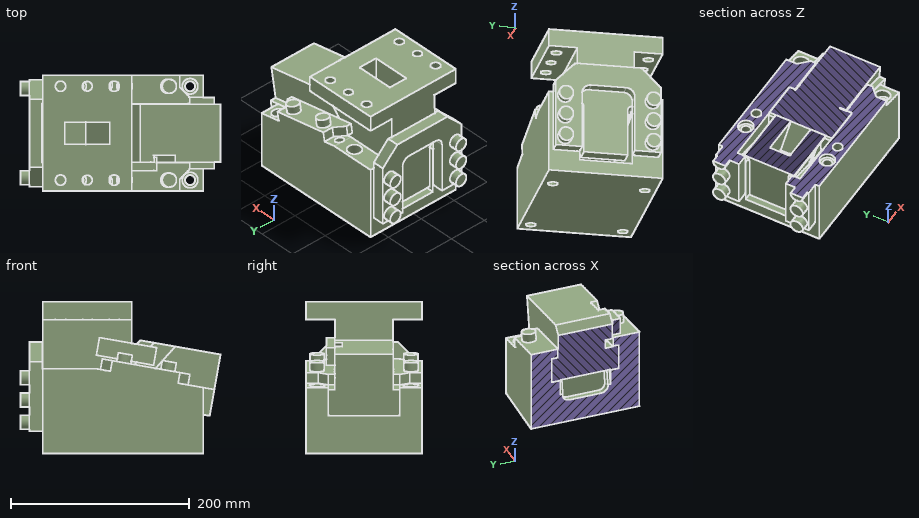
import cadquery as cq
import math

TILT = 10.0
COS = math.cos(math.radians(TILT))
SIN = math.sin(math.radians(TILT))

HOUSING_LENGTH = 180.0
HOUSING_WIDTH = 130.0
HOUSING_TOP = 95.0
SLOPE_START_X = 60.0
FACEPLATE_THICKNESS = 15.0
FACEPLATE_WIDTH = 120.0
FACEPLATE_BOTTOM = 25.0
FACEPLATE_TOP = 125.0
FACEPLATE_CHAMFER = 22.0
WINDOW_WIDTH = 60.0
WINDOW_TOP = 100.0
WINDOW_RADIUS = 10.0
POCKET_FLOOR = 15.0
POCKET_RAMP_TOP = 29.5
POCKET_BACK_U = 50.5
RECESS_DEPTH = 10.0
RECESS_BOTTOM_W = -58.0
RECESS_RADIUS = 8.0
CLEARANCE = 0.5

PAD_HEIGHT = 12.0
PAD_INNER_ENDS_U = (4.8, 104.3)
PAD_CORNER_Y = (40.0, 51.3)
PAD_CORNER = PAD_CORNER_Y[1] - PAD_CORNER_Y[0]

SCREW_DIAMETER = 16.0
SCREW_HEIGHT = 10.0
FACEPLATE_SCREW_Y = 50.0
FACEPLATE_SCREW_Z = (35.0, 60.0, 85.0)
HOLE_ROW_Y = 52.5
PAD_SCREW_U = (29.2, 79.2)
MOUNT_HOLE_X = (40.0, 165.0)
MOUNT_HOLE_DIAMETER = 11.0
COUNTERBORE_DIAMETER = 17.5
COUNTERBORE_FLOOR_Z = (80.0, 65.0)
SLOPE_HOLE_U = 5.0
SLOPE_HOLE_DIAMETER = 11.0
SLOPE_HOLE_DEPTH = 20.0

SLIDE_END_U = 134.36
SLIDE_WIDTH = 65.0
SLIDE_TOP_W = 40.0
SLIDE_TOP_START_U = 42.9
FLANGE_WIDTH = 80.0
FLANGE_DEPTH = 30.0
FLANGE_FRONT_X = 69.5
KEEL_WIDTH = 54.0
KEEL_BOTTOM = 59.5
WEDGE_ANGLE = 58.0
SLOT_START_U = 58.8
SLOT_END_U = 82.9
SLOT_FLOOR_Y = -24.5

HEAD_TOP = 170.0
HEAD_LENGTH = 100.0
HEAD_WIDTH = 130.0
HEAD_THICKNESS = 20.0
NECK_WIDTH = SLIDE_WIDTH
NECK_BOTTOM = 84.0
TONGUE_WIDTH = 50.0
TONGUE_BOTTOM = 25.0
TONGUE_FILLET = 5.0
HEAD_OPENING = (50.0, 25.0)
HEAD_HOLES = ((20.0, 11.5), (50.0, 10.8), (80.0, 11.5))
HOOK_START_U = -2.5
HOOK_END_U = 62.5
HOOK_BOTTOM_W = 15.0
HOOK_TOP_W = 35.0
HOOK_OUTER_Y = -42.0
HOOK_INNER_Y = -27.0

WEDGE_RUN = 1.0 / math.tan(math.radians(WEDGE_ANGLE))
WEDGE_SLOPE = math.tan(math.radians(WEDGE_ANGLE - TILT))
REACH = 400.0


def box(x_range, y_range, z_range):
    """Upright block between the given limits."""
    size = [high - low for low, high in (x_range, y_range, z_range)]
    low_corner = (x_range[0], y_range[0], z_range[0])
    return cq.Workplane("XY").box(*size, centered=False).translate(low_corner)


def centred(width):
    return (-width / 2, width / 2)


def tilt(level_shape):
    """Move a shape built with u as X and w as Z into its tilted place."""
    turned = level_shape.rotate((0, 0, 0), (0, 1, 0), TILT)
    return turned.translate((SLOPE_START_X, 0, HOUSING_TOP))


def tilted_box(u_range, y_range, w_range):
    return tilt(box(u_range, y_range, w_range))


def side_prism(points, y_range):
    """Prism across Y from an outline of (X, Z) points."""
    prism = cq.Workplane("XZ").polyline(points).close().extrude(y_range[0] - y_range[1])
    return prism.translate((0, y_range[0], 0))


def tilted_prism(points, y_range):
    """Prism across Y from an outline of (u, w) points."""
    return side_prism([to_xz(u, w) for u, w in points], y_range)


def to_xz(u, w):
    return (SLOPE_START_X + u * COS + w * SIN, HOUSING_TOP - u * SIN + w * COS)


def slope_plane(w):
    """Plane parallel to the slope at height w, with local x along u and local y along Y."""
    x, z = to_xz(0, w)
    return cq.Workplane(cq.Plane(origin=(x, 0, z), xDir=(COS, 0, -SIN), normal=(SIN, 0, COS)))


def wedge_u(top_u, w):
    """The u of a plane parallel to the wedge face that meets the slide's top face at top_u."""
    return top_u - (SLIDE_TOP_W - w) * WEDGE_RUN


def behind_wedge_plane(top_u, y_range):
    """Everything on the +X side of a plane parallel to the wedge face."""
    points = [
        (wedge_u(top_u, -REACH), -REACH),
        (REACH, -REACH),
        (REACH, REACH),
        (wedge_u(top_u, REACH), REACH),
    ]
    return tilted_prism(points, y_range)


def housing_block():
    slope_end_z = HOUSING_TOP - (HOUSING_LENGTH - SLOPE_START_X) * SIN / COS
    outline = [
        (0, 0),
        (HOUSING_LENGTH, 0),
        (HOUSING_LENGTH, slope_end_z),
        (SLOPE_START_X, HOUSING_TOP),
        (0, HOUSING_TOP),
    ]
    return side_prism(outline, centred(HOUSING_WIDTH))


def faceplate():
    plate = box((-FACEPLATE_THICKNESS, 0), centred(FACEPLATE_WIDTH), (FACEPLATE_BOTTOM, FACEPLATE_TOP))
    plate = plate.edges("|X and >Z").chamfer(FACEPLATE_CHAMFER)
    for y in (-FACEPLATE_SCREW_Y, FACEPLATE_SCREW_Y):
        for z in FACEPLATE_SCREW_Z:
            screw = cq.Workplane("YZ", origin=(-FACEPLATE_THICKNESS, y, z))
            plate = plate.union(screw.circle(SCREW_DIAMETER / 2).extrude(-SCREW_HEIGHT))
    window = box((-FACEPLATE_THICKNESS, 0), centred(WINDOW_WIDTH), (FACEPLATE_BOTTOM, WINDOW_TOP))
    return plate.cut(window.edges("|X and >Z").fillet(WINDOW_RADIUS))


def pads():
    """Two sloped pads, their outer ends set back by 45 degree corners."""
    front_u, back_u = PAD_INNER_ENDS_U
    corner_inner, corner_outer = PAD_CORNER_Y
    side = HOUSING_WIDTH / 2
    half = [
        (front_u, 0),
        (front_u, corner_inner),
        (front_u + PAD_CORNER, corner_outer),
        (front_u + PAD_CORNER, side),
        (back_u - PAD_CORNER, side),
        (back_u - PAD_CORNER, corner_outer),
        (back_u, corner_inner),
        (back_u, 0),
    ]
    pad = slope_plane(0).polyline(half).close().extrude(PAD_HEIGHT)
    screw_places = [(u, HOLE_ROW_Y) for u in PAD_SCREW_U]
    screws = slope_plane(PAD_HEIGHT).pushPoints(screw_places).circle(SCREW_DIAMETER / 2)
    pad = pad.union(screws.extrude(SCREW_HEIGHT))
    return pad.union(pad.mirror("XZ"))


def head_pocket():
    """Pocket for the wedge head's tongue and neck, with a ramp at the foot of its tilted back wall."""
    wall_top = to_xz(POCKET_BACK_U, 0)
    ramp_top_x = wall_top[0] - (wall_top[1] - POCKET_RAMP_TOP) * SIN / COS
    ramp_foot_x = ramp_top_x - (POCKET_RAMP_TOP - POCKET_FLOOR) / WEDGE_SLOPE
    outline = [
        (0, POCKET_FLOOR),
        (ramp_foot_x, POCKET_FLOOR),
        (ramp_top_x, POCKET_RAMP_TOP),
        wall_top,
        (wall_top[0], HOUSING_TOP),
        (0, HOUSING_TOP),
    ]
    lower = side_prism(outline, centred(WINDOW_WIDTH))
    neck_width = centred(NECK_WIDTH + 2 * CLEARANCE)
    neck_space = box((0, HEAD_LENGTH), neck_width, (NECK_BOTTOM, HEAD_TOP))
    front_gap = box((-CLEARANCE, 0), neck_width, (FACEPLATE_BOTTOM, HEAD_TOP))
    return lower.union(neck_space).union(front_gap)


def keel_recess():
    """Round-bottomed recess in the pocket's back wall, in line with the slide's keel."""
    end_u = POCKET_BACK_U + RECESS_DEPTH
    level = box((POCKET_BACK_U, end_u), centred(KEEL_WIDTH), (RECESS_BOTTOM_W, 0))
    return tilt(level.edges("|X and <Z").fillet(RECESS_RADIUS))


def slide_track():
    """T-shaped track: the flanges run under the pads and the slide's body between them."""
    everywhere = (-REACH, REACH)
    flange_space = tilted_box(everywhere, centred(FLANGE_WIDTH), (-FLANGE_DEPTH, 0))
    body_space = tilted_box(everywhere, centred(SLIDE_WIDTH + 2 * CLEARANCE), (0, REACH))
    flange_space = flange_space.intersect(box((0, REACH), centred(REACH), (0, REACH)))
    body_space = body_space.intersect(box((SLOPE_START_X, REACH), centred(REACH), (0, REACH)))
    return flange_space.union(body_space)


def mounting_holes():
    holes = cq.Workplane("XY")
    for x, floor_z in zip(MOUNT_HOLE_X, COUNTERBORE_FLOOR_Z):
        for y in (-HOLE_ROW_Y, HOLE_ROW_Y):
            bore = cq.Workplane("XY", origin=(x, y, 0)).circle(MOUNT_HOLE_DIAMETER / 2).extrude(floor_z)
            counterbore = cq.Workplane("XY", origin=(x, y, floor_z)).circle(COUNTERBORE_DIAMETER / 2)
            holes = holes.add(bore.union(counterbore.extrude(HOUSING_TOP - floor_z)))
    return holes.combine()


def slope_holes():
    places = [(SLOPE_HOLE_U, -HOLE_ROW_Y), (SLOPE_HOLE_U, HOLE_ROW_Y)]
    return slope_plane(0).pushPoints(places).circle(SLOPE_HOLE_DIAMETER / 2).extrude(-SLOPE_HOLE_DEPTH)


def make_housing():
    housing = housing_block().union(faceplate()).union(pads())
    for hollow in (head_pocket(), keel_recess(), slide_track(), mounting_holes(), slope_holes()):
        housing = housing.cut(hollow)
    return housing


def slide_layer(y_range, bottom_w, top_w, end_u):
    """Length of the slide between two heights, its front end cut along the wedge face."""
    outline = [
        (wedge_u(SLIDE_TOP_START_U, bottom_w), bottom_w),
        (end_u, bottom_w),
        (end_u, top_w),
        (wedge_u(SLIDE_TOP_START_U, top_w), top_w),
    ]
    return tilted_prism(outline, y_range)


def keel():
    """Flat-bottomed wedge below the front of the slide."""
    front_x, front_z = to_xz(wedge_u(SLIDE_TOP_START_U, -FLANGE_DEPTH), -FLANGE_DEPTH)
    drop = front_z - KEEL_BOTTOM
    outline = [
        (front_x, front_z),
        (front_x - drop / WEDGE_SLOPE, KEEL_BOTTOM),
        (front_x + drop * COS / SIN, KEEL_BOTTOM),
    ]
    return side_prism(outline, centred(KEEL_WIDTH))


def hook_slot():
    """Slot in the -Y side, parallel to the wedge face."""
    y_range = (-SLIDE_WIDTH / 2, SLOT_FLOOR_Y)
    slot = behind_wedge_plane(SLOT_START_U, y_range).cut(behind_wedge_plane(SLOT_END_U, y_range))
    return slot.intersect(tilted_box((-REACH, REACH), y_range, (0, REACH)))


def make_slide():
    body = slide_layer(centred(SLIDE_WIDTH), -FLANGE_DEPTH, SLIDE_TOP_W, SLIDE_END_U)
    flanges = slide_layer(centred(FLANGE_WIDTH), -FLANGE_DEPTH, 0, SLIDE_END_U)
    sides = body.union(flanges).intersect(box((FLANGE_FRONT_X, REACH), centred(REACH), (0, REACH)))
    core = slide_layer(centred(KEEL_WIDTH), -FLANGE_DEPTH, SLIDE_TOP_W, SLIDE_END_U)
    return sides.union(core).union(keel()).cut(hook_slot())


def hook():
    """Side bar with a lug that reaches into the slide's slot."""
    hook_u = (HOOK_START_U, HOOK_END_U)
    hook_w = (HOOK_BOTTOM_W, HOOK_TOP_W)
    bar = tilted_box(hook_u, (HOOK_OUTER_Y, -NECK_WIDTH / 2), hook_w)
    lug_range = (-NECK_WIDTH / 2, HOOK_INNER_Y)
    lug = tilted_box(hook_u, lug_range, hook_w).intersect(behind_wedge_plane(SLOT_START_U, lug_range))
    return bar.union(lug)


def make_wedge_head():
    length = (0, HEAD_LENGTH)
    plate_bottom = HEAD_TOP - HEAD_THICKNESS
    neck = box(length, centred(NECK_WIDTH), (NECK_BOTTOM, plate_bottom))
    tongue = box(length, centred(TONGUE_WIDTH), (TONGUE_BOTTOM, NECK_BOTTOM))
    head = neck.union(tongue)
    middle = HEAD_LENGTH / 2
    for y in centred(TONGUE_WIDTH):
        inside_corner = cq.selectors.NearestToPointSelector((middle, y, NECK_BOTTOM))
        head = head.edges(inside_corner).fillet(TONGUE_FILLET)
    head = head.cut(behind_wedge_plane(SLIDE_TOP_START_U, centred(NECK_WIDTH)))
    head = head.union(box(length, centred(HEAD_WIDTH), (plate_bottom, HEAD_TOP)))
    opening_length, opening_width = HEAD_OPENING
    opening_x = (middle - opening_length / 2, middle + opening_length / 2)
    head = head.cut(box(opening_x, centred(opening_width), (0, HEAD_TOP)))
    for x, diameter in HEAD_HOLES:
        for y in (-HOLE_ROW_Y, HOLE_ROW_Y):
            hole = cq.Workplane("XY", origin=(x, y, plate_bottom)).circle(diameter / 2)
            head = head.cut(hole.extrude(HEAD_THICKNESS))
    return head.union(hook())


housing = make_housing()
slide = make_slide()
wedge_head = make_wedge_head()

result = cq.Compound.makeCompound([housing.val(), slide.val(), wedge_head.val()])